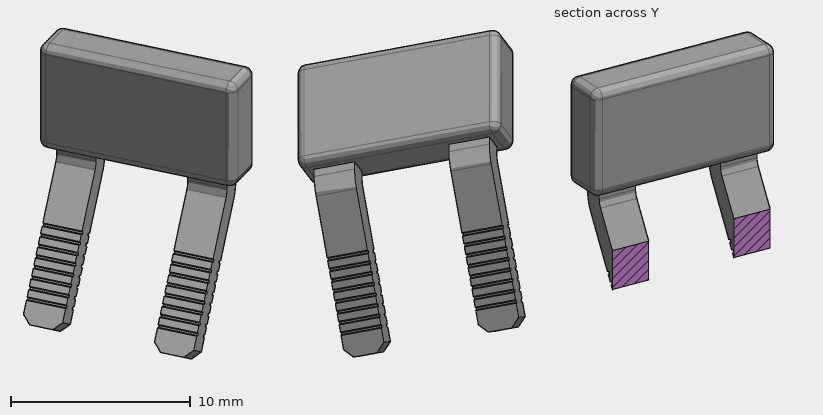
import cadquery as cq
import math

body_width = 12.0
body_depth = 2.8
body_height = 6.5
body_edge_radius = 0.5

overall_depth = 6.72
overall_height = 16.0
leg_width = 2.4
leg_thickness = 1.2
leg_spacing = 8.0
bend_angle = 30.0
inner_bend_radius = 1.0
tip_chamfer = 0.5

groove_count = 8
groove_pitch = 0.6
groove_depth = 0.165
groove_mouth_width = 0.2
groove_floor_width = 0.1
last_groove_to_tip = 1.4

sine = math.sin(math.radians(bend_angle))
cosine = math.cos(math.radians(bend_angle))
along_leg = (-sine, -cosine)
toward_back = (cosine, -sine)

outer_bend_radius = inner_bend_radius + leg_thickness
leg_front_y = -leg_thickness / 2
leg_back_y = leg_thickness / 2
leg_reach = overall_depth - body_depth / 2 + leg_front_y
leg_drop = overall_height - body_height
tilted_length = (leg_reach - inner_bend_radius * (1 - cosine)) / sine
straight_length = leg_drop - outer_bend_radius * sine - tilted_length * cosine
bend_center_y = leg_front_y - inner_bend_radius


def bend_point(radius, angle):
    """Point on the bend at a radius and at an angle (degrees) past its start."""
    turn = math.radians(angle)
    y = bend_center_y + radius * math.cos(turn)
    z = -straight_length - radius * math.sin(turn)
    return (y, z)


front_bend_end = bend_point(inner_bend_radius, bend_angle)


def tilted_point(distance, depth):
    """Point at a distance below the bend and a depth behind the leg's front face."""
    y = front_bend_end[0] + distance * along_leg[0] + depth * toward_back[0]
    z = front_bend_end[1] + distance * along_leg[1] + depth * toward_back[1]
    return (y, z)


def make_body():
    block = cq.Workplane("XY").box(body_width, body_depth, body_height, centered=(True, True, False))
    return block.edges().fillet(body_edge_radius)


def make_bar(center_x):
    """Plain bent bar: straight stub, bend and tilted length with square ends."""
    return (
        cq.Workplane("YZ", origin=(center_x, 0, 0))
        .moveTo(leg_front_y, 0)
        .lineTo(leg_front_y, -straight_length)
        .threePointArc(bend_point(inner_bend_radius, bend_angle / 2), front_bend_end)
        .lineTo(*tilted_point(tilted_length, 0))
        .lineTo(*tilted_point(tilted_length, leg_thickness))
        .lineTo(*bend_point(outer_bend_radius, bend_angle))
        .threePointArc(bend_point(outer_bend_radius, bend_angle / 2), (leg_back_y, -straight_length))
        .lineTo(leg_back_y, 0)
        .close()
        .extrude(leg_width / 2, both=True)
    )


def chamfer_tip(bar):
    """Cut the two side corners of the tip, along the edges that cross the thickness."""
    tip_face = bar.faces(cq.selectors.DirectionMinMaxSelector(cq.Vector(0, *along_leg), True))
    across_thickness = cq.selectors.ParallelDirSelector(cq.Vector(0, *toward_back))
    return tip_face.edges(across_thickness).chamfer(tip_chamfer)


def make_groove(center_x, distance, mouth_depth, floor_depth):
    """Trapezoidal prism with its mouth on a leg face and a narrower floor inside the leg."""
    half_mouth = groove_mouth_width / 2
    half_floor = groove_floor_width / 2
    corners = [
        tilted_point(distance - half_mouth, mouth_depth),
        tilted_point(distance - half_floor, floor_depth),
        tilted_point(distance + half_floor, floor_depth),
        tilted_point(distance + half_mouth, mouth_depth),
    ]
    return (
        cq.Workplane("YZ", origin=(center_x, 0, 0))
        .polyline(corners)
        .close()
        .extrude(leg_width / 2, both=True)
    )


def make_leg(center_x):
    leg = chamfer_tip(make_bar(center_x))
    for index in range(groove_count):
        distance = tilted_length - last_groove_to_tip - index * groove_pitch
        front_groove = make_groove(center_x, distance, 0, groove_depth)
        back_groove = make_groove(center_x, distance, leg_thickness, leg_thickness - groove_depth)
        leg = leg.cut(front_groove).cut(back_groove)
    return leg


result = make_body()
for leg_x in (-leg_spacing / 2, leg_spacing / 2):
    result = result.union(make_leg(leg_x))